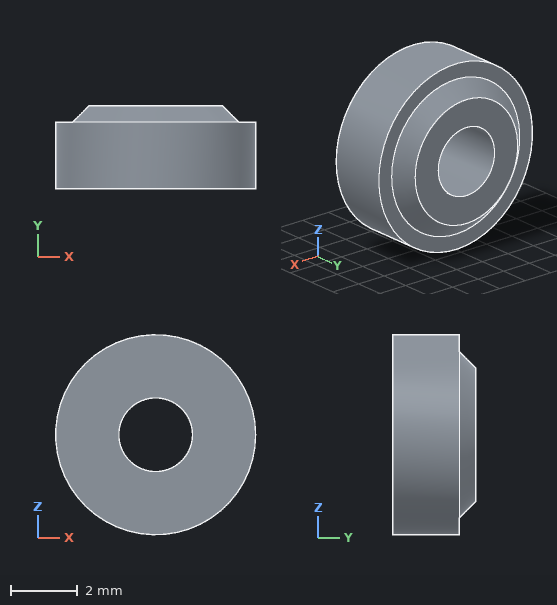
import cadquery as cq

body_diameter = 6.0
body_length = 2.0
bore_diameter = 2.2
collar_base_diameter = 5.0
collar_tip_diameter = 4.0
collar_length = 0.5

total_length = body_length + collar_length


def make_bushing():
    """Flat disc with a tapered collar on its +Y face and a through bore, turned about Y."""
    bore_radius = bore_diameter / 2
    body_radius = body_diameter / 2
    collar_base_radius = collar_base_diameter / 2
    collar_tip_radius = collar_tip_diameter / 2

    half_section = (
        cq.Workplane("XY")
        .moveTo(bore_radius, 0)
        .lineTo(body_radius, 0)
        .lineTo(body_radius, body_length)
        .lineTo(collar_base_radius, body_length)
        .lineTo(collar_tip_radius, total_length)
        .lineTo(bore_radius, total_length)
        .close()
    )
    return half_section.revolve(360, (0, 0, 0), (0, 1, 0))


result = make_bushing()